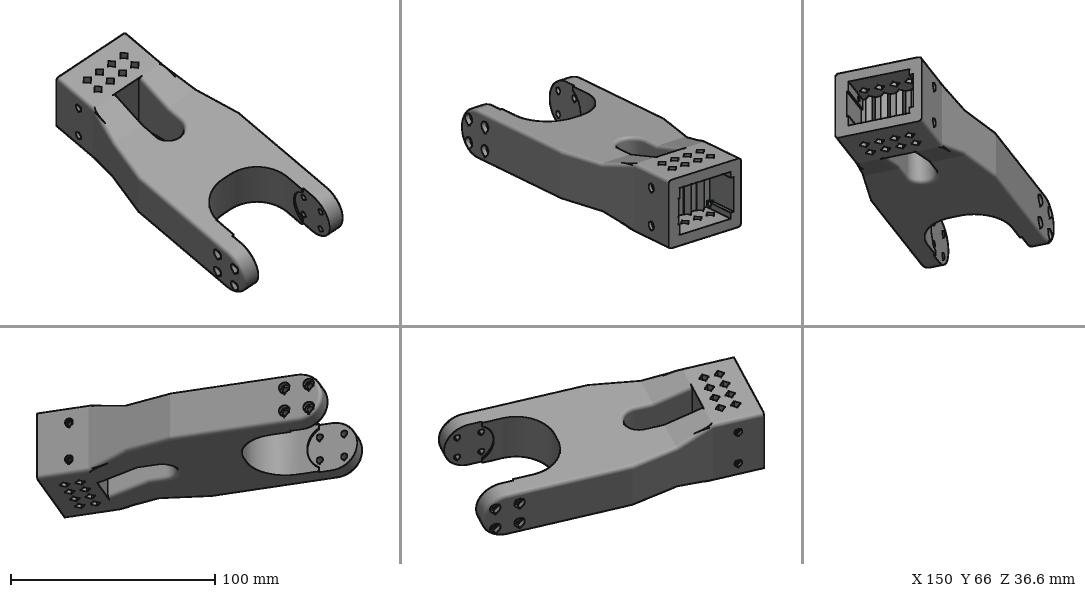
import cadquery as cq
import math

LENGTH = 150.0
SOCKET_END = 26.7
THICKNESS_TAPER_END = 47.0
WIDTH_TAPER_END = 72.0

SOCKET_WIDTH = 45.8
SOCKET_HEIGHT = 36.6
BODY_WIDTH = 66.0
BODY_HEIGHT = 26.0
EDGE_RADIUS = 2.0

LUG_RADIUS = BODY_HEIGHT / 2
LUG_CENTER_X = LENGTH - LUG_RADIUS
LUG_SCREW_SPACING = 12.6
LUG_HOLE_RADIUS = 1.6
LUG_HEAD_RADIUS = 2.7
LUG_HEAD_DEPTH = 3.0

FORK_START = 100.0
FORK_WIDTH = 44.6
FORK_CORNER_RADIUS = 20.0
LUG_GAP = 46.6
LUG_SEAT_START = 130.6
LUG_SEAT_RADIUS = 12.5

SLOT_WIDTH = 15.2
SLOT_CENTER_X = 57.0

INNER_CENTER_Y = -0.25

DIAMOND_HALF_DIAGONAL = 2.5
DIAMOND_PITCH = 8.0
DIAMOND_FIRST_X = 10.9
DIAMOND_COLUMNS = 2
DIAMOND_ROWS = 4

CAVITY_DEPTH = DIAMOND_FIRST_X + (DIAMOND_COLUMNS - 1) * DIAMOND_PITCH
CAVITY_WIDTH = 32.1
CAVITY_HEIGHT = 25.0
LEFT_RECESS_REACH = 16.6
LEFT_RECESS_HEIGHT = 14.0
RIGHT_RECESS_REACH = 18.3
RIGHT_RECESS_HEIGHT = 18.6

RIGHT_SCREW_X = 16.5
LEFT_SCREW_X = 13.5
SOCKET_SCREW_SPACING = 20.2
SOCKET_HOLE_RADIUS = 1.2
SOCKET_HEAD_RADIUS = 2.0
SOCKET_HEAD_DEPTH = 2.0


def box(x_start, x_end, y_start, y_end, height):
    """Box centred on Z = 0."""
    return (
        cq.Workplane("XY", origin=(0, 0, -height / 2))
        .moveTo(x_start, y_start)
        .lineTo(x_end, y_start)
        .lineTo(x_end, y_end)
        .lineTo(x_start, y_end)
        .close()
        .extrude(height)
    )


def teardrop(x, z, radius, y_start, y_end):
    """Teardrop prism along Y with a right-angled tip pointing toward -Z."""
    flank = radius * math.sqrt(0.5)
    return (
        cq.Workplane("XZ", origin=(x, y_start, z))
        .moveTo(-flank, -flank)
        .threePointArc((0, radius), (flank, -flank))
        .lineTo(0, -2 * flank)
        .close()
        .extrude(y_start - y_end)
    )


def side_outline():
    """Full-width prism of the outline seen along Y."""
    return (
        cq.Workplane("XZ", origin=(0, BODY_WIDTH / 2, 0))
        .moveTo(0, SOCKET_HEIGHT / 2)
        .lineTo(SOCKET_END, SOCKET_HEIGHT / 2)
        .lineTo(THICKNESS_TAPER_END, BODY_HEIGHT / 2)
        .lineTo(LUG_CENTER_X, BODY_HEIGHT / 2)
        .threePointArc((LENGTH, 0), (LUG_CENTER_X, -BODY_HEIGHT / 2))
        .lineTo(THICKNESS_TAPER_END, -BODY_HEIGHT / 2)
        .lineTo(SOCKET_END, -SOCKET_HEIGHT / 2)
        .lineTo(0, -SOCKET_HEIGHT / 2)
        .close()
        .extrude(BODY_WIDTH)
    )


def make_body():
    """Flaring fork body joined to a socket block that runs on into the thickness taper."""
    side = side_outline()
    plan = (
        cq.Workplane("XY", origin=(0, 0, -SOCKET_HEIGHT / 2))
        .moveTo(SOCKET_END, SOCKET_WIDTH / 2)
        .lineTo(WIDTH_TAPER_END, BODY_WIDTH / 2)
        .lineTo(LENGTH, BODY_WIDTH / 2)
        .lineTo(LENGTH, -BODY_WIDTH / 2)
        .lineTo(WIDTH_TAPER_END, -BODY_WIDTH / 2)
        .lineTo(SOCKET_END, -SOCKET_WIDTH / 2)
        .close()
        .extrude(SOCKET_HEIGHT)
    )
    fork = side.intersect(plan).edges("(not |Y) and (not |Z)").fillet(EDGE_RADIUS)
    socket = (
        box(0, THICKNESS_TAPER_END, -SOCKET_WIDTH / 2, SOCKET_WIDTH / 2, SOCKET_HEIGHT)
        .edges("|X")
        .fillet(EDGE_RADIUS)
        .intersect(side)
    )
    return fork.union(socket)


def cut_slot(body):
    """Round-ended slot starting at the back of the socket block, rims rounded."""
    half_width = SLOT_WIDTH / 2
    slot = (
        box(SOCKET_END, SLOT_CENTER_X, -half_width, half_width, SOCKET_HEIGHT)
        .union(
            cq.Workplane("XY", origin=(SLOT_CENTER_X, 0, -SOCKET_HEIGHT / 2))
            .circle(half_width)
            .extrude(SOCKET_HEIGHT)
        )
    )
    margin = 1.0
    rim_zone = cq.selectors.BoxSelector(
        (SOCKET_END + margin, -half_width - margin, -SOCKET_HEIGHT),
        (SLOT_CENTER_X + half_width + margin, half_width + margin, SOCKET_HEIGHT),
    )
    return body.cut(slot).edges(rim_zone).edges("not |Z").fillet(EDGE_RADIUS)


def fork_opening():
    half_width = FORK_WIDTH / 2
    opening = (
        box(FORK_START, LENGTH, -half_width, half_width, SOCKET_HEIGHT)
        .edges("|Z and <X")
        .fillet(FORK_CORNER_RADIUS)
    )
    seats = box(LUG_SEAT_START, LENGTH, -LUG_GAP / 2, LUG_GAP / 2, SOCKET_HEIGHT)
    seat_disc = (
        cq.Workplane("XZ", origin=(LUG_CENTER_X, LUG_GAP / 2, 0))
        .circle(LUG_SEAT_RADIUS)
        .extrude(LUG_GAP)
    )
    return opening.union(seats).union(seat_disc)


def lug_screw_holes():
    holes = cq.Workplane("XY")
    outer = BODY_WIDTH / 2
    half = LUG_SCREW_SPACING / 2
    for x in (LUG_CENTER_X - half, LUG_CENTER_X + half):
        for z in (-half, half):
            holes = holes.union(teardrop(x, z, LUG_HOLE_RADIUS, outer, -outer))
            holes = holes.union(teardrop(x, z, LUG_HEAD_RADIUS, -outer + LUG_HEAD_DEPTH, -outer))
            holes = holes.union(teardrop(x, z, LUG_HEAD_RADIUS, outer, outer - LUG_HEAD_DEPTH))
    return holes


def socket_cavity():
    y_start = INNER_CENTER_Y - CAVITY_WIDTH / 2
    y_end = INNER_CENTER_Y + CAVITY_WIDTH / 2
    cavity = box(0, CAVITY_DEPTH, y_start, y_end, CAVITY_HEIGHT)
    left = box(0, CAVITY_DEPTH, 0, LEFT_RECESS_REACH, LEFT_RECESS_HEIGHT)
    right = box(0, CAVITY_DEPTH, -RIGHT_RECESS_REACH, 0, RIGHT_RECESS_HEIGHT)
    return cavity.union(left).union(right)


def diamond_holes():
    middle_x = DIAMOND_FIRST_X + (DIAMOND_COLUMNS - 1) * DIAMOND_PITCH / 2
    side = DIAMOND_HALF_DIAGONAL * math.sqrt(2)
    return (
        cq.Workplane("XY", origin=(middle_x, INNER_CENTER_Y, -SOCKET_HEIGHT / 2))
        .rarray(DIAMOND_PITCH, DIAMOND_PITCH, DIAMOND_COLUMNS, DIAMOND_ROWS)
        .sketch()
        .rect(side, side, angle=45)
        .finalize()
        .extrude(SOCKET_HEIGHT)
    )


def socket_screw_holes():
    """Headed holes through both side walls; the two walls have different X positions."""
    holes = cq.Workplane("XY")
    outer = SOCKET_WIDTH / 2
    head_seat = outer - SOCKET_HEAD_DEPTH
    for z in (-SOCKET_SCREW_SPACING / 2, SOCKET_SCREW_SPACING / 2):
        holes = holes.union(teardrop(RIGHT_SCREW_X, z, SOCKET_HOLE_RADIUS, 0, -outer))
        holes = holes.union(teardrop(RIGHT_SCREW_X, z, SOCKET_HEAD_RADIUS, -head_seat, -outer))
        holes = holes.union(teardrop(LEFT_SCREW_X, z, SOCKET_HOLE_RADIUS, outer, 0))
        holes = holes.union(teardrop(LEFT_SCREW_X, z, SOCKET_HEAD_RADIUS, outer, head_seat))
    return holes


result = (
    cut_slot(make_body())
    .cut(fork_opening())
    .cut(lug_screw_holes())
    .cut(socket_cavity())
    .cut(diamond_holes())
    .cut(socket_screw_holes())
)